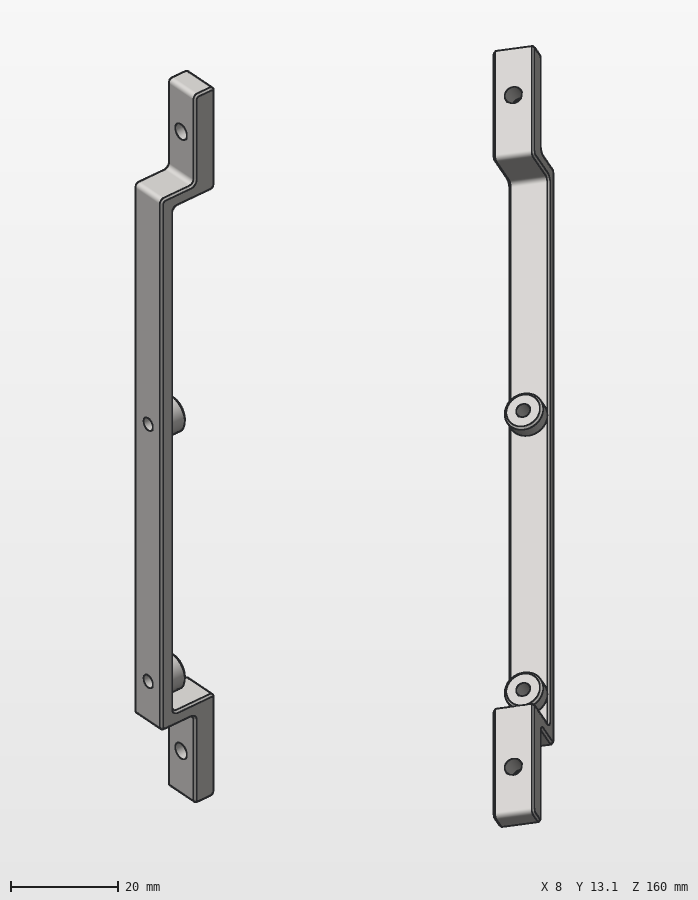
import cadquery as cq

width = 8.0
depth = 13.1
length = 160.0

tab_thickness = 5.0
bar_thickness = 3.0
step_top = 60.0
step_bottom = step_top - bar_thickness

corner_radius = 1.0
side_chamfer = 0.45

tab_hole_diameter = 3.4
tab_hole_height = 70.0
boss_diameter = 7.5
boss_length = 3.2
boss_chamfer = 0.5
boss_hole_diameter = 2.7
boss_offset = 0.2
boss_heights = (7.5, -50.5)

front_y = -depth / 2
back_y = depth / 2
bar_back_y = front_y + bar_thickness
tab_front_y = back_y - tab_thickness


def make_strap():
    """Offset strap, symmetric about Z = 0, with all its edges broken."""
    upper_half = [
        (front_y, step_top),
        (tab_front_y, step_top),
        (tab_front_y, length / 2),
        (back_y, length / 2),
        (back_y, step_bottom),
        (bar_back_y, step_bottom),
    ]
    lower_half = [(y, -z) for y, z in reversed(upper_half)]
    strap = (
        cq.Workplane("YZ")
        .polyline(upper_half + lower_half)
        .close()
        .extrude(width / 2, both=True)
    )
    strap = strap.edges("|X").fillet(corner_radius)
    return strap.faces("<X or >X").chamfer(side_chamfer)


def cylinder_along_y(diameter, x, z, start_y, end_y):
    """Cylinder around the axis at (x, z), from start_y to end_y."""
    axis_start = cq.Vector(x, start_y, z)
    axis_direction = cq.Vector(0, 1, 0)
    return cq.Workplane(cq.Solid.makeCylinder(diameter / 2, end_y - start_y, axis_start, axis_direction))


def make_boss(z):
    """Round boss on the back of the bar, rooted inside the bar for a clean union."""
    root_y = bar_back_y - bar_thickness / 2
    boss = cylinder_along_y(boss_diameter, boss_offset, z, root_y, bar_back_y + boss_length)
    return boss.faces(">Y").chamfer(boss_chamfer)


result = make_strap()

for boss_z in boss_heights:
    result = result.union(make_boss(boss_z))
    result = result.cut(cylinder_along_y(boss_hole_diameter, boss_offset, boss_z, front_y, back_y))

for tab_hole_z in (tab_hole_height, -tab_hole_height):
    result = result.cut(cylinder_along_y(tab_hole_diameter, 0, tab_hole_z, front_y, back_y))